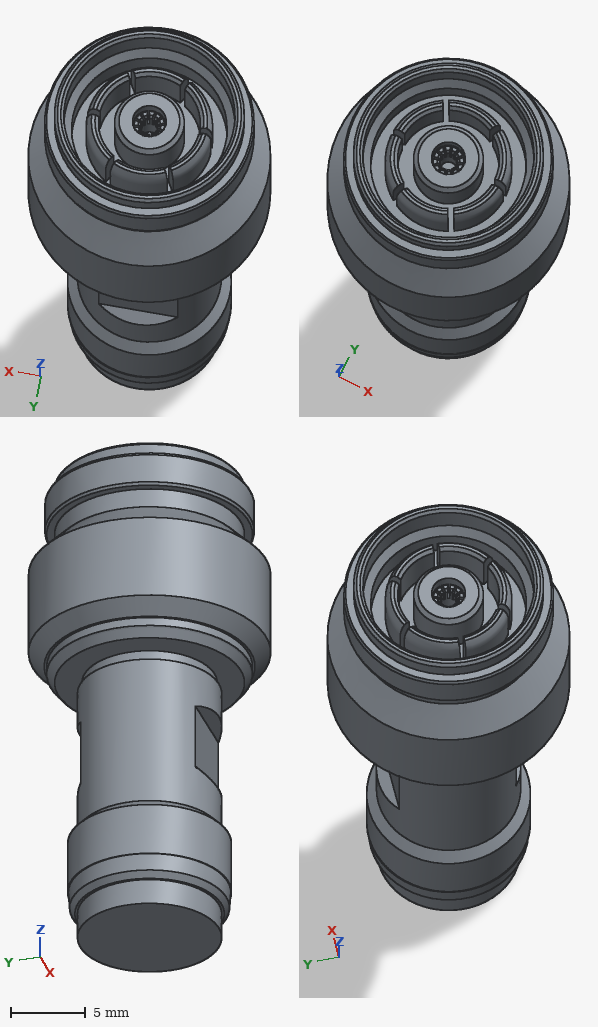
import cadquery as cq
import math

total_length = 34.25

shank_radius = 4.825
lower_nut_radius = 5.48
lower_nut_bottom = 1.8
lower_nut_edge_height = 2.25
lower_nut_step_height = 3.45
lower_nut_top = 7.15
lower_nut_step = 0.05
lower_nut_taper = 0.08
lower_nut_foot_radius = 5.0
shank_top = 18.55
relief_radius = 4.53
head_bottom = 19.35
head_foot_radius = 6.35
head_rim_radius = 6.88
head_rim_step = 0.1
head_rim_edge_height = 19.9
head_rim_top = 20.6
head_radius = 8.1
head_lower_cone_radius = 7.05
head_cylinder_bottom = 21.65
head_cylinder_top = 27.55
neck_radius = 6.35
collar_radius = 7.0
collar_bottom = 30.65
collar_top = 33.1
collar_inset = 0.12
collar_drop = 0.2
lip_chamfer = 0.2

flat_offset = 4.0
flat_bottom = 11.0
flat_top = 15.58
flat_ramp_angle = 30

socket_radius = 5.72
socket_chamfer = 0.2
socket_cone_depth = 1.85
socket_cone_size = 0.52
socket_depth = 4.1

finger_tip_depth = 1.1
finger_inner_radius = 3.4
finger_inner_chamfer = 0.24
finger_tip_outer_radius = 3.88
finger_outer_radius = 4.23
finger_bulge_height = 0.9
finger_slot_count = 6
finger_slot_width = 0.4

post_radius = 2.33
post_chamfer = 0.3
post_top_depth = 1.05
post_bore_radius = 1.12

contact_tip_depth = 1.75
contact_chamfer = 0.1
contact_bore_radius = 0.57
contact_bore_chamfer = 0.18
contact_slot_count = 12
contact_slot_width = 0.14
contact_slot_length = 1.0


def make_body():
    """Solid of revolution with all outer stages, from the lower end to the upper lip."""
    nut_waist_radius = lower_nut_radius - lower_nut_step
    collar_edge_radius = collar_radius - collar_inset
    outline = [
        (0, 0),
        (shank_radius, 0),
        (shank_radius, lower_nut_bottom),
        (lower_nut_foot_radius, lower_nut_bottom),
        (nut_waist_radius - lower_nut_taper, lower_nut_edge_height),
        (nut_waist_radius, lower_nut_step_height),
        (lower_nut_radius, lower_nut_step_height),
        (lower_nut_radius, lower_nut_top),
        (shank_radius, lower_nut_top + lower_nut_radius - shank_radius),
        (shank_radius, shank_top),
        (relief_radius, shank_top),
        (relief_radius, head_bottom),
        (head_foot_radius, head_bottom),
        (head_rim_radius - head_rim_step, head_rim_edge_height),
        (head_rim_radius, head_rim_edge_height + head_rim_step),
        (head_rim_radius, head_rim_top),
        (head_lower_cone_radius, head_rim_top),
        (head_radius, head_cylinder_bottom),
        (head_radius, head_cylinder_top),
        (neck_radius, head_cylinder_top + head_radius - neck_radius),
        (neck_radius, collar_bottom),
        (collar_edge_radius, collar_bottom),
        (collar_radius, collar_bottom + collar_drop),
        (collar_radius, collar_top - collar_drop),
        (collar_edge_radius, collar_top),
        (neck_radius, collar_top),
        (neck_radius, total_length - lip_chamfer),
        (neck_radius - lip_chamfer, total_length),
        (0, total_length),
    ]
    return cq.Workplane("XZ").polyline(outline).close().revolve(360, (0, 0), (0, 1))


def make_flat_cutter():
    """Trapezoidal bar along X that leaves one ramped wrench flat on the -Y side."""
    reach = lower_nut_radius
    rise = (reach - flat_offset) * math.tan(math.radians(flat_ramp_angle))
    outline = [
        (-flat_offset, flat_bottom),
        (-flat_offset, flat_top),
        (-reach, flat_top + rise),
        (-reach, flat_bottom - rise),
    ]
    return cq.Workplane("YZ").polyline(outline).close().extrude(reach, both=True)


def make_socket():
    """Cavity of the socket: chamfered mouth, bore, cone and narrower lower bore."""
    lower_radius = socket_radius - socket_cone_size
    cone_top = total_length - socket_cone_depth
    floor = total_length - socket_depth
    outline = [
        (0, floor),
        (lower_radius, floor),
        (lower_radius, cone_top - socket_cone_size),
        (socket_radius, cone_top),
        (socket_radius, total_length - socket_chamfer),
        (socket_radius + socket_chamfer, total_length),
        (0, total_length),
    ]
    return cq.Workplane("XZ").polyline(outline).close().revolve(360, (0, 0), (0, 1))


def make_radial_slots(count, width, length, bottom, top, first_angle):
    """Evenly spaced radial bars reaching from the axis out to the given length."""
    slots = cq.Workplane("XY")
    for index in range(count):
        bar = cq.Workplane("XY", origin=(0, 0, bottom)).rect(length, width).extrude(top - bottom)
        bar = bar.translate((length / 2, 0, 0))
        angle = first_angle + index * 360 / count
        slots = slots.add(bar.rotate((0, 0, 0), (0, 0, 1), angle))
    return slots.combine()


def make_fingers():
    """Ring with a rounded outer tip, split into spring fingers by radial slots."""
    floor = total_length - socket_depth
    tip = total_length - finger_tip_depth
    ring = (
        cq.Workplane("XZ")
        .moveTo(finger_inner_radius, floor)
        .lineTo(finger_outer_radius, floor)
        .lineTo(finger_outer_radius, tip - finger_bulge_height)
        .tangentArcPoint((finger_tip_outer_radius, tip), relative=False)
        .lineTo(finger_inner_radius + finger_inner_chamfer, tip)
        .lineTo(finger_inner_radius, tip - finger_inner_chamfer)
        .close()
        .revolve(360, (0, 0), (0, 1))
    )
    slots = make_radial_slots(
        finger_slot_count, finger_slot_width, socket_radius, floor, total_length, 0
    )
    return ring.cut(slots)


def make_post():
    """Chamfered post with a bore that holds the contact."""
    floor = total_length - socket_depth
    height = socket_depth - post_top_depth
    post = cq.Workplane("XY", origin=(0, 0, floor)).circle(post_radius).extrude(height)
    post = post.faces(">Z").chamfer(post_chamfer)
    return post.faces(">Z").workplane().circle(post_bore_radius).cutThruAll()


def make_contact():
    """Tubular contact filling the bore of the post, slotted at its tip."""
    floor = total_length - socket_depth
    tip = total_length - contact_tip_depth
    outline = [
        (contact_bore_radius, floor),
        (post_bore_radius, floor),
        (post_bore_radius, tip - contact_chamfer),
        (post_bore_radius - contact_chamfer, tip),
        (contact_bore_radius + contact_bore_chamfer, tip),
        (contact_bore_radius, tip - contact_bore_chamfer),
    ]
    tube = cq.Workplane("XZ").polyline(outline).close().revolve(360, (0, 0), (0, 1))
    slots = make_radial_slots(
        contact_slot_count,
        contact_slot_width,
        post_radius,
        tip - contact_slot_length,
        tip,
        180 / contact_slot_count,
    )
    return tube.cut(slots)


front_flat = make_flat_cutter()
body = make_body().cut(front_flat).cut(front_flat.mirror("XZ")).cut(make_socket())
result = body.union(make_fingers()).union(make_post()).union(make_contact())